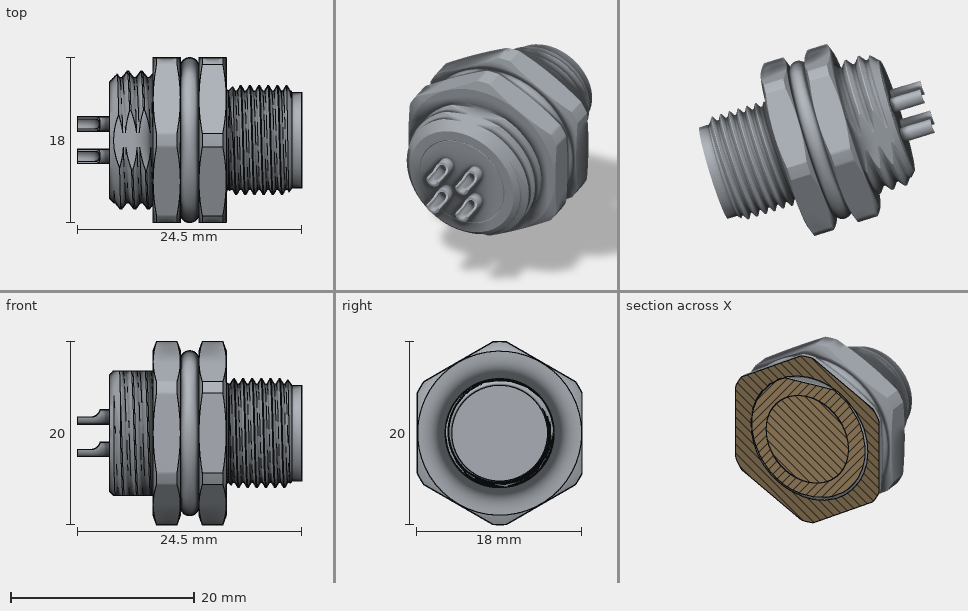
import cadquery as cq
import math


HEX_FLATS = 18.0
HEX_CORNERS = 20.0
HEX_FACE_DIA = 17.9
HEX_CHAMFER_ANGLE = 20.0
HEX_THICKNESS = 3.0
NUT_CORNER_FILLET = 0.7

RING_OUTER_DIA = 18.0
RING_CORD_DIA = 2.0
NECK_RADIUS = RING_OUTER_DIA / 2 - RING_CORD_DIA

NUT_FRONT = -RING_CORD_DIA
NUT_REAR = NUT_FRONT - HEX_THICKNESS
SHELL_REAR = -9.75
NOSE_LENGTH = 1.1
SHELL_FRONT = 11.25
NOSE_START = SHELL_FRONT - NOSE_LENGTH
PIN_TIP = SHELL_REAR - 3.5

REAR_PITCH = 1.5
REAR_MAJOR_RADIUS = 15.06 / 2
REAR_ROOT_RADIUS = 13.7 / 2
REAR_CREST_WIDTH = 0.15
REAR_ROOT_WIDTH = 0.29
REAR_CREST_AT = -9.62
REAR_FACE_RADIUS = 6.35
REAR_FLATS = 13.6
FLATS_END_GAP = 0.6

FRONT_PITCH = 1.0
FRONT_MAJOR_RADIUS = 11.9 / 2
FRONT_ROOT_RADIUS = 10.76 / 2
FRONT_CREST_WIDTH = 0.1
FRONT_ROOT_WIDTH = 0.24
FRONT_CREST_AT = 4.32
FRONT_BASE_FILLET = 0.25
FRONT_CHAMFER_LENGTH = 0.55
NOSE_RADIUS = 10.45 / 2

NUT_THREAD_CLEARANCE = 0.15
NUT_THREAD_SHIFT = -0.1

INSERT_RADIUS = 10.25 / 2
INSERT_LENGTH = 8.0
POCKET_MOUTH_RADIUS = 10.45 / 2

PIN_DIA = 1.6
PIN_CIRCLE_DIA = 5.0
PIN_COUNT = 4
PIN_DEPTH = 5.0
CUP_BORE_DIA = 1.1
CUP_BORE_DEPTH = 3.0
CUP_OPENING_LENGTH = 1.5
CUP_RUNOUT_RADIUS = 1.0

FLANK_POINTS = 6
STUB_RADIUS = 5.0
STUB_LENGTH = 0.5
OVERRUN = 0.2


def x_cylinder(radius, start, end):
    return cq.Workplane("YZ", origin=(start, 0, 0)).circle(radius).extrude(end - start)


def turned(points):
    """Solid of revolution about X from (x, radius) points."""
    return cq.Workplane("XY").polyline(points).close().revolve(360, (0, 0, 0), (1, 0, 0))


def threaded_rod(pitch, major, root, crest_width, root_width, crest_at, start, end):
    """Rod along X with a right-handed thread that has a crest at the bottom at X = crest_at.

    Its cross-section has a crest arc, a root arc and a spiral flank between them on either side.
    The section turns once per pitch along the rod.
    """
    half_crest = math.pi * crest_width / pitch
    half_root = math.pi * root_width / pitch
    flank_angle = math.pi - half_crest - half_root

    def polar(radius, angle):
        return (radius * math.cos(angle), radius * math.sin(angle))

    def rising_flank(t):
        return polar(root + t * (major - root), math.pi + half_root + t * flank_angle)

    def falling_flank(t):
        return polar(major - t * (major - root), half_crest + t * flank_angle)

    section = (
        cq.Workplane("XY")
        .moveTo(*polar(major, -half_crest))
        .threePointArc(polar(major, 0), polar(major, half_crest))
        .parametricCurve(falling_flank, N=FLANK_POINTS, makeWire=False)
        .threePointArc(polar(root, math.pi), polar(root, math.pi + half_root))
        .parametricCurve(rising_flank, N=FLANK_POINTS, makeWire=False)
        .close()
    )
    turns = (end - start) / pitch
    rod = section.twistExtrude(end - start, 360 * turns)
    start_turn = 360 * (start - crest_at) / pitch
    rod = rod.rotate((0, 0, 0), (0, 0, 1), start_turn)
    return rod.rotate((0, 0, 0), (0, 1, 0), 90).translate((start, 0, 0))


def hexagon(start):
    """Hexagonal prism with corners on top and bottom, turned to its corner diameter."""
    end = start + HEX_THICKNESS
    sharp_dia = HEX_FLATS / math.cos(math.pi / 6)
    prism = cq.Workplane("YZ", origin=(start, 0, 0)).polygon(6, sharp_dia).extrude(HEX_THICKNESS)
    prism = prism.rotate((0, 0, 0), (1, 0, 0), 30)
    return prism.intersect(x_cylinder(HEX_CORNERS / 2, start, end))


def chamfer_hexagon(body, start):
    """Cone off both end faces of a hexagon, leaving a round face."""
    end = start + HEX_THICKNESS
    corner_radius = HEX_CORNERS / 2
    face_radius = HEX_FACE_DIA / 2
    depth = (corner_radius - face_radius) * math.tan(math.radians(HEX_CHAMFER_ANGLE))
    envelope = turned([
        (start, 0),
        (start, face_radius),
        (start + depth, corner_radius),
        (end - depth, corner_radius),
        (end, face_radius),
        (end, 0),
    ])
    return body.intersect(envelope)


def rear_thread(start, end, clearance, shift):
    return threaded_rod(
        REAR_PITCH,
        REAR_MAJOR_RADIUS + clearance,
        REAR_ROOT_RADIUS + clearance,
        REAR_CREST_WIDTH,
        REAR_ROOT_WIDTH,
        REAR_CREST_AT + shift,
        start,
        end,
    )


def rear_barrel():
    """Threaded rear of the shell: coned at both ends, with a stub into the neck."""
    outside = REAR_MAJOR_RADIUS + OVERRUN
    envelope = turned([
        (SHELL_REAR, 0),
        (SHELL_REAR, REAR_FACE_RADIUS),
        (SHELL_REAR + outside - REAR_FACE_RADIUS, outside),
        (NUT_FRONT - outside + REAR_ROOT_RADIUS, outside),
        (NUT_FRONT, REAR_ROOT_RADIUS),
        (NUT_FRONT, STUB_RADIUS),
        (NUT_FRONT + STUB_LENGTH, STUB_RADIUS),
        (NUT_FRONT + STUB_LENGTH, 0),
    ])
    thread = rear_thread(SHELL_REAR - OVERRUN, NUT_FRONT + STUB_LENGTH + OVERRUN, 0, 0)
    return thread.intersect(envelope, clean=False)


def cut_flats(shell):
    """Flatten the rear thread above and below, up to a short round length at the neck."""
    start = SHELL_REAR - OVERRUN
    length = NUT_FRONT - FLATS_END_GAP - start
    depth = REAR_MAJOR_RADIUS
    for side in (-1, 1):
        block = cq.Workplane("XY").box(length, HEX_CORNERS, depth)
        block = block.translate((start + length / 2, 0, side * (REAR_FLATS + depth) / 2))
        shell = shell.cut(block, clean=False)
    return shell


def base_fillet():
    """Ring that fillets the front barrel into the flange."""
    front = HEX_THICKNESS + FRONT_BASE_FILLET
    reach = FRONT_BASE_FILLET * (1 - math.sqrt(0.5))
    return (
        cq.Workplane("XY")
        .moveTo(HEX_THICKNESS, 0)
        .lineTo(HEX_THICKNESS, FRONT_ROOT_RADIUS + FRONT_BASE_FILLET)
        .threePointArc(
            (HEX_THICKNESS + reach, FRONT_ROOT_RADIUS + reach),
            (front, FRONT_ROOT_RADIUS),
        )
        .lineTo(front, 0)
        .close()
        .revolve(360, (0, 0, 0), (1, 0, 0))
    )


def front_barrel():
    """Front thread coned at both ends, with a stub that reaches back into the flange."""
    start = HEX_THICKNESS + FRONT_BASE_FILLET
    outside = FRONT_MAJOR_RADIUS + OVERRUN
    chamfer_slope = FRONT_CHAMFER_LENGTH / (FRONT_MAJOR_RADIUS - NOSE_RADIUS)
    envelope = turned([
        (start - STUB_LENGTH, 0),
        (start - STUB_LENGTH, STUB_RADIUS),
        (start, STUB_RADIUS),
        (start, FRONT_ROOT_RADIUS),
        (start + outside - FRONT_ROOT_RADIUS, outside),
        (NOSE_START - (outside - NOSE_RADIUS) * chamfer_slope, outside),
        (NOSE_START, NOSE_RADIUS),
        (NOSE_START, 0),
    ])
    thread = threaded_rod(
        FRONT_PITCH,
        FRONT_MAJOR_RADIUS,
        FRONT_ROOT_RADIUS,
        FRONT_CREST_WIDTH,
        FRONT_ROOT_WIDTH,
        FRONT_CREST_AT,
        start - STUB_LENGTH - OVERRUN,
        NOSE_START + OVERRUN,
    )
    return thread.intersect(envelope, clean=False)


def make_shell():
    flange = chamfer_hexagon(hexagon(0), 0)
    neck = x_cylinder(NECK_RADIUS, NUT_FRONT, 0)
    nose = x_cylinder(NOSE_RADIUS, HEX_THICKNESS, SHELL_FRONT)
    middle = flange.union(neck).union(base_fillet()).union(nose)
    shell = cut_flats(middle.union(rear_barrel(), clean=False))
    shell = shell.union(front_barrel(), clean=False)
    mouth_depth = POCKET_MOUTH_RADIUS - INSERT_RADIUS
    pocket = turned([
        (SHELL_REAR, 0),
        (SHELL_REAR, POCKET_MOUTH_RADIUS),
        (SHELL_REAR + mouth_depth, INSERT_RADIUS),
        (SHELL_REAR + INSERT_LENGTH, INSERT_RADIUS),
        (SHELL_REAR + INSERT_LENGTH, 0),
    ])
    return shell.cut(pocket, clean=False)


def make_nut():
    nut = hexagon(NUT_REAR).edges("|X").fillet(NUT_CORNER_FILLET)
    nut = chamfer_hexagon(nut, NUT_REAR)
    tap_ends = (NUT_REAR - OVERRUN, NUT_FRONT + OVERRUN)
    tap = rear_thread(*tap_ends, NUT_THREAD_CLEARANCE, NUT_THREAD_SHIFT)
    return nut.cut(tap, clean=False)


def make_o_ring():
    cord_radius = RING_CORD_DIA / 2
    center_radius = RING_OUTER_DIA / 2 - cord_radius
    cord = cq.Workplane("XY").moveTo(-cord_radius, center_radius).circle(cord_radius)
    return cord.revolve(360, (0, 0, 0), (1, 0, 0))


def pin_places():
    """(y, z) centres of the pins, on the diagonals of their circle."""
    radius = PIN_CIRCLE_DIA / 2
    angles = [math.pi / 4 + i * 2 * math.pi / PIN_COUNT for i in range(PIN_COUNT)]
    return [(radius * math.cos(a), radius * math.sin(a)) for a in angles]


def make_pin():
    """Pin on the X axis with a bored rear end that is cut open on top."""
    pin = x_cylinder(PIN_DIA / 2, PIN_TIP, SHELL_REAR + PIN_DEPTH)
    pin = pin.cut(x_cylinder(CUP_BORE_DIA / 2, PIN_TIP, PIN_TIP + CUP_BORE_DEPTH))
    runout = PIN_TIP + CUP_OPENING_LENGTH
    reach = CUP_RUNOUT_RADIUS * math.sqrt(0.5)
    opening = (
        cq.Workplane("XZ")
        .moveTo(PIN_TIP, 0)
        .lineTo(runout, 0)
        .threePointArc(
            (runout + reach, CUP_RUNOUT_RADIUS - reach),
            (runout + CUP_RUNOUT_RADIUS, CUP_RUNOUT_RADIUS),
        )
        .lineTo(PIN_TIP, CUP_RUNOUT_RADIUS)
        .close()
        .extrude(PIN_DIA / 2, both=True)
    )
    return pin.cut(opening)


def make_insert():
    insert = x_cylinder(INSERT_RADIUS, SHELL_REAR, SHELL_REAR + INSERT_LENGTH)
    for y, z in pin_places():
        hole = x_cylinder(PIN_DIA / 2, SHELL_REAR, SHELL_REAR + PIN_DEPTH)
        insert = insert.cut(hole.translate((0, y, z)))
    return insert


shell = make_shell()
nut = make_nut()
o_ring = make_o_ring()
insert = make_insert()
pins = [make_pin().translate((0, y, z)) for y, z in pin_places()]

result = cq.Compound.makeCompound([
    shell.val(),
    nut.val(),
    o_ring.val(),
    insert.val(),
    *[pin.val() for pin in pins],
])